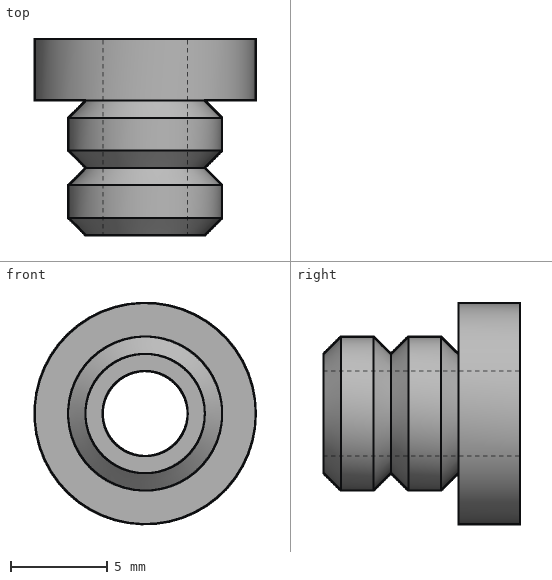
import cadquery as cq

flange_diameter = 11.5
flange_thickness = 3.2
collar_diameter = 8.0
collar_length = 3.5
collar_chamfer = 0.9
collar_count = 2
bore_diameter = 4.4

total_length = flange_thickness + collar_count * collar_length


def cylinder_along_y(diameter, start_y, length):
    """Solid cylinder on the Y axis, running from start_y toward +Y."""
    return cq.Workplane("XZ", origin=(0, start_y, 0)).circle(diameter / 2).extrude(-length)


def make_collar(start_y):
    """Collar with both rims chamfered, so neighbours meet in a V groove."""
    collar = cylinder_along_y(collar_diameter, start_y, collar_length)
    return collar.faces("<Y or >Y").edges().chamfer(collar_chamfer)


result = cylinder_along_y(flange_diameter, collar_count * collar_length, flange_thickness)

for index in range(collar_count):
    result = result.union(make_collar(index * collar_length))

result = result.cut(cylinder_along_y(bore_diameter, 0, total_length))